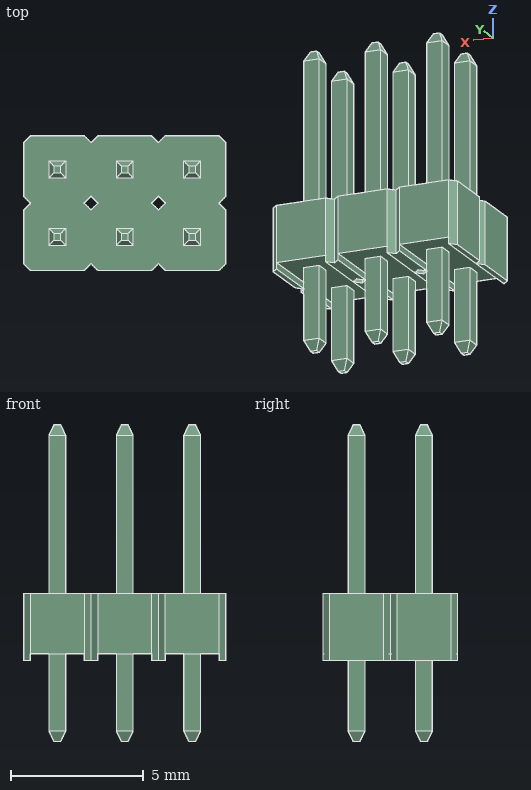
import cadquery as cq

pitch = 2.54
columns = 3
rows = 2
body_height = 2.54
corner_chamfer = 0.254
channel_depth = 0.254
foot_web = 0.005

pin_width = 0.64
pin_above = 6.35
pin_below = 3.05
tip_length = 0.4
tip_width = 0.256

body_length = columns * pitch
body_width = rows * pitch
channel_width = pitch - 2 * (corner_chamfer + foot_web)
shank_bottom = -pin_below + tip_length
shank_top = body_height + pin_above - tip_length

column_positions = [(i - (columns - 1) / 2) * pitch for i in range(columns)]
row_positions = [(j - (rows - 1) / 2) * pitch for j in range(rows)]
pin_positions = [(x, y) for x in column_positions for y in row_positions]
cell_corners = [
    (i * pitch - body_length / 2, j * pitch - body_width / 2)
    for i in range(columns + 1)
    for j in range(rows + 1)
]


def make_housing():
    """Block of square cells with every cell corner chamfered, bottom at Z = 0."""
    block = cq.Workplane("XY").box(
        body_length, body_width, body_height, centered=(True, True, False)
    )
    diamonds = (
        cq.Workplane("XY")
        .pushPoints(cell_corners)
        .polygon(4, 2 * corner_chamfer)
        .extrude(body_height)
    )
    return block.cut(diamonds)


def make_channels():
    """Shallow channels along Y under each pin column, leaving feet between them."""
    return (
        cq.Workplane("XY")
        .pushPoints([(x, 0) for x in column_positions])
        .rect(channel_width, body_width)
        .extrude(channel_depth)
    )


def make_tip(base_z, end_z):
    """Pyramid frustum that narrows from the pin section to the end flat."""
    return (
        cq.Workplane("XY", origin=(0, 0, base_z))
        .rect(pin_width, pin_width)
        .workplane(offset=end_z - base_z)
        .rect(tip_width, tip_width)
        .loft(ruled=True)
    )


def make_pin():
    """Square pin on the Z axis, tapered at both ends."""
    shank = (
        cq.Workplane("XY", origin=(0, 0, shank_bottom))
        .rect(pin_width, pin_width)
        .extrude(shank_top - shank_bottom)
    )
    top_tip = make_tip(shank_top, shank_top + tip_length)
    bottom_tip = make_tip(shank_bottom, -pin_below)
    return shank.union(top_tip).union(bottom_tip)


result = make_housing().cut(make_channels())
pin = make_pin()
for x, y in pin_positions:
    result = result.union(pin.translate((x, y, 0)))